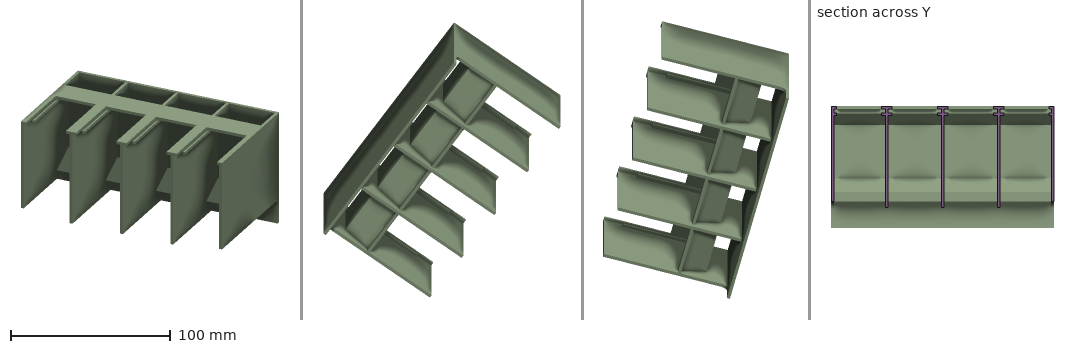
import cadquery as cq
import math

width = 140.0
depth = 82.5
height = 76.5

bay_count = 4
bay_pitch = width / bay_count
wall = 2.0
side_wall_height = 59.9
divider_height = 63.5
side_fillet = 4.0

slot_width = 28.0
slot_rear = 39.5
slot_overhang = (bay_pitch - slot_width) / 2

mouth_opening = 20.5
throat_opening = 14.0
outlet_opening = 30.5
funnel_top = 4.0
funnel_bottom = 11.0
flare_top = 46.2
flare_bottom = 55.2

rail_top = 2 * wall
rail_front = 70.5


def block(x_start, x_end, rear, front, top, bottom):
    """Box between two X positions, two distances from the rear face and two depths from the top."""
    size = (x_end - x_start, front - rear, bottom - top)
    return cq.Workplane("XY").box(*size, centered=False).translate((x_start, -front, -bottom))


def make_back_wall():
    return block(-width / 2, width / 2, 0, wall, 0, height)


def make_side_wall(x_start):
    """Outer wall whose lower edge runs into the back wall through a concave fillet."""
    arc_inset = side_fillet * (1 - math.sqrt(0.5))
    return (
        cq.Workplane("YZ", origin=(x_start, 0, 0))
        .moveTo(0, 0)
        .lineTo(-depth, 0)
        .lineTo(-depth, -side_wall_height)
        .lineTo(-wall - side_fillet, -side_wall_height)
        .threePointArc(
            (-wall - arc_inset, -side_wall_height - arc_inset),
            (-wall, -side_wall_height - side_fillet),
        )
        .lineTo(0, -side_wall_height - side_fillet)
        .close()
        .extrude(wall)
    )


def make_top_plate():
    """Plate ahead of the hopper mouths, with one open-fronted slot per bay."""
    plate = block(-width / 2, width / 2, wall + mouth_opening, depth, 0, wall)
    for bay in range(bay_count):
        slot_start = -width / 2 + bay * bay_pitch + slot_overhang
        plate = plate.cut(block(slot_start, slot_start + slot_width, slot_rear, depth, 0, wall))
    return plate


def bend_shift(run, drop):
    """Depth between the inner and outer corners of a bend in a sheet of constant thickness."""
    return wall * math.tan(math.atan2(run, drop) / 2)


def make_hopper_front():
    """Bent sheet that funnels the mouth into the throat, then flares to the outlet."""
    mouth = -wall - mouth_opening
    throat = -wall - throat_opening
    outlet = -wall - outlet_opening
    funnel_shift = bend_shift(mouth_opening - throat_opening, funnel_bottom - funnel_top)
    flare_shift = bend_shift(outlet_opening - throat_opening, flare_bottom - flare_top)
    inner = [
        (mouth, 0),
        (mouth, -funnel_top),
        (throat, -funnel_bottom),
        (throat, -flare_top),
        (outlet, -flare_bottom),
        (outlet, -side_wall_height),
    ]
    outer = [
        (outlet - wall, -side_wall_height),
        (outlet - wall, -flare_bottom + flare_shift),
        (throat - wall, -flare_top + flare_shift),
        (throat - wall, -funnel_bottom - funnel_shift),
        (mouth - wall, -funnel_top - funnel_shift),
        (mouth - wall, 0),
    ]
    return cq.Workplane("YZ", origin=(-width / 2, 0, 0)).polyline(inner + outer).close().extrude(width)


def make_rail(wall_centre):
    """Bar through a wall, flush with the slot edges above it and trimmed at the outer faces."""
    rail_rear = wall + mouth_opening
    rail_bottom = rail_top + wall
    return block(
        max(wall_centre - slot_overhang, -width / 2),
        min(wall_centre + slot_overhang, width / 2),
        rail_rear,
        rail_front,
        rail_top,
        rail_bottom,
    )


result = make_back_wall().union(make_top_plate()).union(make_hopper_front())

for side_start in (-width / 2, width / 2 - wall):
    result = result.union(make_side_wall(side_start))

for divider in range(1, bay_count):
    centre = -width / 2 + divider * bay_pitch
    result = result.union(block(centre - wall / 2, centre + wall / 2, 0, depth, 0, divider_height))

for boundary in range(bay_count + 1):
    result = result.union(make_rail(-width / 2 + boundary * bay_pitch))